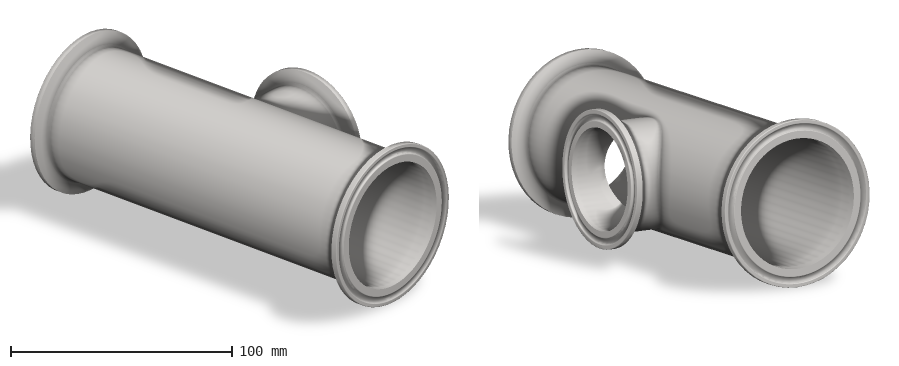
import cadquery as cq

RUN_LENGTH = 184.2
RUN_TUBE_DIAMETER = 63.5
RUN_BORE_DIAMETER = 60.2
RUN_FLANGE_DIAMETER = 77.3
RUN_GROOVE_DIAMETER = 70.5

BRANCH_REACH = 47.7
BRANCH_TUBE_DIAMETER = 50.8
BRANCH_BORE_DIAMETER = 47.5
BRANCH_FLANGE_DIAMETER = 63.9
BRANCH_GROOVE_DIAMETER = 56.5

FERRULE_LENGTH = 12.5
RIM_THICKNESS = 3.0
BACK_CONE_END = 5.3
NECK_FILLET = 1.5
RIM_FILLET = 0.4
GROOVE_WIDTH = 3.0
GROOVE_DEPTH = 1.5
GROOVE_LIP_FILLET = 0.4

JUNCTION_FILLET = 1.0


def ferrule(tube_diameter, flange_diameter, groove_diameter):
    """Solid clamp ferrule with its sealing face at z = 0 and its neck toward +Z."""
    neck = tube_diameter / 2
    rim = flange_diameter / 2
    body = (
        cq.Workplane("XZ")
        .moveTo(0, 0)
        .lineTo(rim, 0)
        .lineTo(rim, RIM_THICKNESS)
        .lineTo(neck, BACK_CONE_END)
        .lineTo(neck, FERRULE_LENGTH)
        .lineTo(0, FERRULE_LENGTH)
        .close()
        .revolve(360, (0, 0, 0), (0, 1, 0))
    )
    neck_corner = cq.selectors.NearestToPointSelector((0, 0, BACK_CONE_END))
    body = body.edges("%CIRCLE").edges(neck_corner).fillet(NECK_FILLET)
    body = body.faces("<Z").edges().fillet(RIM_FILLET)

    groove_middle = groove_diameter / 2
    groove = (
        cq.Workplane("XZ")
        .moveTo(groove_middle - GROOVE_WIDTH / 2, 0)
        .threePointArc((groove_middle, GROOVE_DEPTH), (groove_middle + GROOVE_WIDTH / 2, 0))
        .close()
        .revolve(360, (0, 0, 0), (0, 1, 0))
    )
    body = body.cut(groove)
    return body.faces("<Z").edges("%CIRCLE").fillet(GROOVE_LIP_FILLET)


def cylinder_along(plane, diameter, start, end):
    """Cylinder along the normal of a plane, between two offsets from the origin."""
    return cq.Workplane(plane).workplane(offset=start).circle(diameter / 2).extrude(end - start)


run_plane = cq.Plane(origin=(0, 0, 0), xDir=(0, -1, 0), normal=(1, 0, 0))
branch_plane = cq.Plane(origin=(0, 0, 0), xDir=(1, 0, 0), normal=(0, 1, 0))

half_length = RUN_LENGTH / 2
tube_end = half_length - FERRULE_LENGTH
branch_tube_end = BRANCH_REACH - FERRULE_LENGTH

run_tube = cylinder_along(run_plane, RUN_TUBE_DIAMETER, -tube_end, tube_end)
branch_tube = cylinder_along(branch_plane, BRANCH_TUBE_DIAMETER, 0, branch_tube_end)
body = run_tube.union(branch_tube)
body = body.edges("%BSPLINE").fillet(JUNCTION_FILLET)

run_ferrule = ferrule(RUN_TUBE_DIAMETER, RUN_FLANGE_DIAMETER, RUN_GROOVE_DIAMETER)
left_ferrule = run_ferrule.rotate((0, 0, 0), (0, 1, 0), 90).translate((-half_length, 0, 0))
right_ferrule = left_ferrule.mirror("YZ")
body = body.union(left_ferrule).union(right_ferrule)

branch_ferrule = ferrule(BRANCH_TUBE_DIAMETER, BRANCH_FLANGE_DIAMETER, BRANCH_GROOVE_DIAMETER)
branch_ferrule = branch_ferrule.rotate((0, 0, 0), (1, 0, 0), 90).translate((0, BRANCH_REACH, 0))
body = body.union(branch_ferrule)

run_bore = cylinder_along(run_plane, RUN_BORE_DIAMETER, -half_length, half_length)
branch_bore = cylinder_along(branch_plane, BRANCH_BORE_DIAMETER, 0, BRANCH_REACH)
result = body.cut(run_bore).cut(branch_bore)